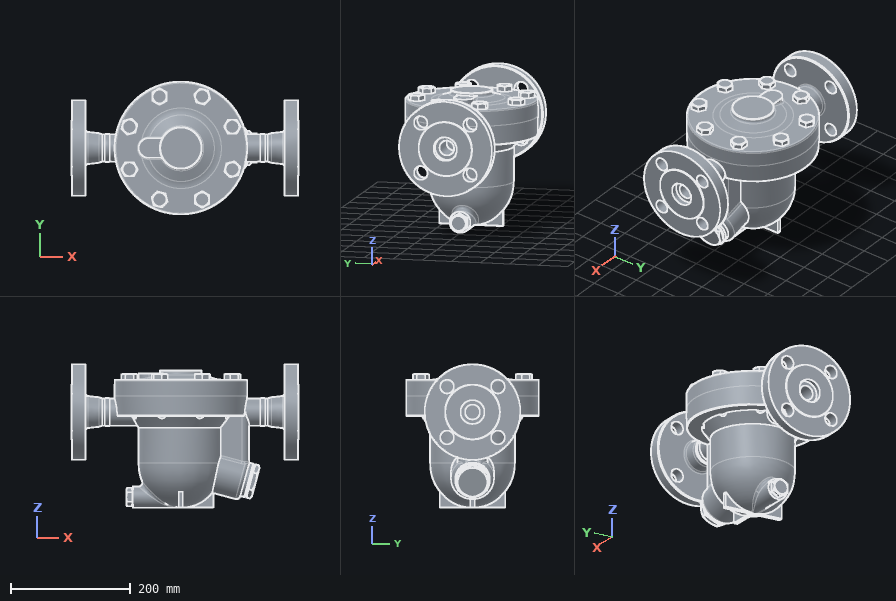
import cadquery as cq
import math


LENGTH = 380
INLET_FACE_X = -183.1
OUTLET_FACE_X = INLET_FACE_X + LENGTH
FLANGE_DIA = 160
RAISED_FACE_DIA = 92
RAISED_FACE_HEIGHT = 1.2
FLANGE_BACK = 24.5
FLANGE_CHAMFER = 1.5
BOLT_CIRCLE_DIA = 120
BOLT_HOLE_DIA = 23
BOLT_HOLES = 4
PIPE_DIA = 46
HUB_LARGE_DIA = 54.2
HUB_SMALL_DIA = 50
HUB_FILLET = 3
HUB_END = 46
HUB_CONE_END = 51.7
WELD_START = 56.3
WELD_END = 64.4
WELD_HEIGHT = 0.8
SOCKET_DIA = 40
SOCKET_DEPTH = 11
BORE_DIA = 25
BORE_DEPTH = 60

BODY_DIA = 222
COVER_TOP_Z = 54.3
SEAM_Z = 27
RIM_FILLET = 2.3
DOME_FOOT_RADIUS = 67.3
DOME_CONE_RADIUS = 55.6
DOME_CONE_Z = 56.3
DOME_NECK_RADIUS = 37.7
DOME_NECK_Z = 62.3
CAP_DIA = 70
CAP_TOP_Z = 69.5
CAP_FOOT_Z = 67.2
CAP_CHAMFER = 0.7
LUG_WIDTH = 33
LUG_CENTRE_X = -54
LUG_TOP_Z = 64.6
LUG_FILLET = 2.3

COVER_BOLTS = 8
COVER_BOLT_CIRCLE_RADIUS = 93
COVER_BOLT_FLATS = 24
COVER_BOLT_FACE_DIA = 23
COVER_BOLT_HEIGHT = 9.5
COVER_BOLT_FLAT_AT = 112.5
CORNER_TO_FLAT = 30
SPOTFACE_RADIUS = 11

BODY_FLANGE_Z = -6.7
BODY_FLANGE_TAPER = 2.4
BODY_FLANGE_CHAMFER = 1.2
NECK_TOP_RADIUS = 85
NECK_BOTTOM_Z = -26
BOWL_RADIUS = 71
BOWL_SPRING_Z = -84.3
BOTTOM_Z = -160
BOWL_BOTTOM_Z = -159.6

FOOT_REACH = 54.8
FOOT_THICKNESS = 7
FOOT_TOP_Z = -133.5
FOOT_CHAMFER = 1.2

DRAIN_DIA = 36
DRAIN_Z = BOTTOM_Z + DRAIN_DIA / 2
DRAIN_END_X = -80
DRAIN_GAP = 1.5
DRAIN_NECK_DIA = 25
DRAIN_HEX_FLATS = 27
DRAIN_HEX_FACE_DIA = 25
DRAIN_HEX_HEIGHT = 10
DRAIN_FILLET = 6

STRAINER_FACE_X = 125.1
STRAINER_FACE_Z = -117.3
STRAINER_TILT = 15
STRAINER_DIA = 72
STRAINER_LENGTH = 94
STRAINER_END = 19
STRAINER_END_FILLET = 6.9
COLLAR_DIA = 58
COLLAR_END = 9.8
COLLAR_CHAMFER = 2.5
STRAINER_NECK_DIA = 49.5
STRAINER_HEX_FLATS = 50
STRAINER_HEX_FACE_DIA = 49.5
STRAINER_HEX_HEIGHT = 8.5

PASSAGE_WIDTH = 50
PASSAGE_END_X = 113.9
PASSAGE_CORNER = 12.5
PASSAGE_FILLET = 6.5
PASSAGE_BOTTOM_Z = -90
HEX_CHAMFER_ANGLE = 30


def turned(points):
    """Solid turned about Z from an (r, z) outline."""
    return cq.Workplane("XZ").polyline(points).close().revolve(360, (0, 0), (0, 1))


def placed(solid, origin, axis, x_direction):
    """Move a solid built along +Z so that it runs from origin along axis."""
    return cq.Workplane(solid.val().moved(cq.Location(cq.Plane(origin, x_direction, axis))))


def hex_head(flats, height, face_dia):
    """Hexagonal head with corners on local X and a 30 degree chamfer on its outer face."""
    corner_radius = flats / math.sqrt(3)
    face_radius = face_dia / 2
    chamfer = (corner_radius - face_radius) * math.tan(math.radians(HEX_CHAMFER_ANGLE))
    envelope = turned([
        (0, 0),
        (corner_radius, 0),
        (corner_radius, height - chamfer),
        (face_radius, height),
        (0, height),
    ])
    return cq.Workplane("XY").polygon(6, 2 * corner_radius).extrude(height).intersect(envelope)


def blended(solid, point, radius):
    """Fillet the edge whose centre is nearest to point, with the edges tangent to it."""
    return solid.edges(cq.selectors.NearestToPointSelector(point)).fillet(radius)


def cover():
    rim = BODY_DIA / 2
    cap = CAP_DIA / 2
    profile = (
        cq.Workplane("XZ")
        .moveTo(0, SEAM_Z)
        .lineTo(rim, SEAM_Z)
        .lineTo(rim, COVER_TOP_Z - RIM_FILLET)
        .radiusArc((rim - RIM_FILLET, COVER_TOP_Z), -RIM_FILLET)
        .lineTo(DOME_FOOT_RADIUS, COVER_TOP_Z)
        .tangentArcPoint((DOME_CONE_RADIUS, DOME_CONE_Z), relative=False)
        .lineTo(DOME_NECK_RADIUS, DOME_NECK_Z)
        .tangentArcPoint((cap, CAP_FOOT_Z), relative=False)
        .lineTo(cap, CAP_TOP_Z - CAP_CHAMFER)
        .lineTo(cap - CAP_CHAMFER, CAP_TOP_Z)
        .lineTo(0, CAP_TOP_Z)
        .close()
    )
    lid = profile.revolve(360, (0, 0), (0, 1))
    lug_bar = (
        cq.Workplane("XY", origin=(0, 0, SEAM_Z))
        .rect(-LUG_CENTRE_X, LUG_WIDTH)
        .extrude(LUG_TOP_Z - SEAM_Z)
        .translate((LUG_CENTRE_X / 2, 0, 0))
    )
    lug_end = (
        cq.Workplane("XY", origin=(LUG_CENTRE_X, 0, SEAM_Z))
        .circle(LUG_WIDTH / 2)
        .extrude(LUG_TOP_Z - SEAM_Z)
    )
    lug_tip = (LUG_CENTRE_X - LUG_WIDTH / 2, 0, COVER_TOP_Z)
    return blended(lid.union(lug_bar.union(lug_end)), lug_tip, LUG_FILLET)


def cover_bolts():
    bolts = cq.Workplane()
    head = hex_head(COVER_BOLT_FLATS, COVER_BOLT_HEIGHT, COVER_BOLT_FACE_DIA)
    for i in range(COVER_BOLTS):
        angle = (i + 0.5) * 360 / COVER_BOLTS
        bolt = head.rotate((0, 0, 0), (0, 0, 1), CORNER_TO_FLAT + angle - COVER_BOLT_FLAT_AT)
        x = COVER_BOLT_CIRCLE_RADIUS * math.cos(math.radians(angle))
        y = COVER_BOLT_CIRCLE_RADIUS * math.sin(math.radians(angle))
        bolts = bolts.add(bolt.translate((x, y, COVER_TOP_Z)))
    return bolts.combine()


def oval_section(z, inset_x, inset_y):
    """Outline of the body flange at height z, its longer axis along Y."""
    rim = BODY_DIA / 2
    plane = cq.Plane((0, 0, z), xDir=(0, 1, 0), normal=(0, 0, 1))
    return cq.Workplane(plane).ellipse(rim - inset_y, rim - inset_x).wires().val()


def body_flange():
    """Round at the seam, closing in along X only, with a chamfered lower edge."""
    chamfer = BODY_FLANGE_CHAMFER
    top = oval_section(SEAM_Z, 0, 0)
    edge = oval_section(BODY_FLANGE_Z + chamfer, BODY_FLANGE_TAPER, 0)
    bottom = oval_section(BODY_FLANGE_Z, BODY_FLANGE_TAPER + chamfer, chamfer)
    side = cq.Workplane(cq.Solid.makeLoft([top, edge], True))
    return side.union(cq.Workplane(cq.Solid.makeLoft([edge, bottom], True)))


def bowl():
    """Bowl with its flared neck, a rounded bottom close to a half ellipse, and bolt spot faces."""
    quarter = math.sqrt(0.5)
    depth = BOWL_SPRING_Z - BOWL_BOTTOM_Z
    profile = (
        cq.Workplane("XZ")
        .moveTo(0, SEAM_Z)
        .lineTo(BOWL_RADIUS, SEAM_Z)
        .lineTo(NECK_TOP_RADIUS, BODY_FLANGE_Z)
        .lineTo(BOWL_RADIUS, NECK_BOTTOM_Z)
        .lineTo(BOWL_RADIUS, BOWL_SPRING_Z)
        .spline(
            [(BOWL_RADIUS * quarter, BOWL_SPRING_Z - depth * quarter), (0, BOWL_BOTTOM_Z)],
            tangents=[(0, -1), (-1, 0)],
            includeCurrent=True,
        )
        .close()
    )
    solid = profile.revolve(360, (0, 0), (0, 1))
    spotfaces = (
        cq.Workplane("XY", origin=(0, 0, BODY_FLANGE_Z))
        .polarArray(COVER_BOLT_CIRCLE_RADIUS, 180 / COVER_BOLTS, 360, COVER_BOLTS)
        .circle(SPOTFACE_RADIUS)
        .extrude(NECK_BOTTOM_Z - BODY_FLANGE_Z)
    )
    return solid.cut(spotfaces)


def feet():
    """Two feet across Y and one toward +X; the drain boss takes the fourth side."""
    height = FOOT_TOP_Z - BOTTOM_Z
    low = cq.Workplane("XY", origin=(0, 0, BOTTOM_Z))
    cross = low.rect(FOOT_THICKNESS, 2 * FOOT_REACH).extrude(height)
    single = low.center(FOOT_REACH / 2, 0).rect(FOOT_REACH, FOOT_THICKNESS).extrude(height)
    return cross.union(single).faces("<Z").chamfer(FOOT_CHAMFER)


def bowl_with_drain():
    boss = (
        cq.Workplane("YZ", origin=(DRAIN_END_X, 0, DRAIN_Z))
        .circle(DRAIN_DIA / 2)
        .extrude(-DRAIN_END_X)
    )
    seam_middle = (DRAIN_END_X / 2, 0, DRAIN_Z)
    return blended(bowl().union(boss), seam_middle, DRAIN_FILLET)


def drain_plug():
    neck = cq.Workplane("XY").circle(DRAIN_NECK_DIA / 2).extrude(DRAIN_GAP)
    head = hex_head(DRAIN_HEX_FLATS, DRAIN_HEX_HEIGHT, DRAIN_HEX_FACE_DIA)
    plug = neck.union(head.translate((0, 0, DRAIN_GAP)))
    return placed(plug, (DRAIN_END_X, 0, DRAIN_Z), (-1, 0, 0), (0, 0, 1))


def on_strainer_axis(solid):
    """Place a solid whose z = 0 is the outer face of the strainer plug."""
    tilt = math.radians(STRAINER_TILT)
    axis = (math.cos(tilt), 0, -math.sin(tilt))
    across = (math.sin(tilt), 0, math.cos(tilt))
    return placed(solid, (STRAINER_FACE_X, 0, STRAINER_FACE_Z), axis, across)


def strainer_boss():
    boss = (
        cq.Workplane("XY", origin=(0, 0, -STRAINER_LENGTH))
        .circle(STRAINER_DIA / 2)
        .extrude(STRAINER_LENGTH - STRAINER_END)
        .faces(">Z")
        .edges()
        .fillet(STRAINER_END_FILLET)
    )
    return on_strainer_axis(boss)


def passage():
    return (
        cq.Workplane("XY")
        .center(PASSAGE_END_X / 2, 0)
        .rect(PASSAGE_END_X, PASSAGE_WIDTH)
        .extrude(PASSAGE_BOTTOM_Z)
        .edges("|Z and >X")
        .fillet(PASSAGE_CORNER)
    )


def strainer_passage():
    """Strainer boss joined to the passage block above it, with both side seams filleted."""
    joined = strainer_boss().union(passage())
    tilt = math.radians(STRAINER_TILT)
    seam_x = BOWL_RADIUS
    axis_z = STRAINER_FACE_Z + (STRAINER_FACE_X - seam_x) * math.tan(tilt)
    seam_height = math.sqrt(STRAINER_DIA**2 - PASSAGE_WIDTH**2) / 2 / math.cos(tilt)
    for side in (-1, 1):
        seam = (seam_x, side * PASSAGE_WIDTH / 2, axis_z + seam_height)
        joined = blended(joined, seam, PASSAGE_FILLET)
    return joined


def strainer_plug():
    collar = turned([
        (0, -STRAINER_END),
        (COLLAR_DIA / 2, -STRAINER_END),
        (COLLAR_DIA / 2, -COLLAR_END - COLLAR_CHAMFER),
        (COLLAR_DIA / 2 - COLLAR_CHAMFER, -COLLAR_END),
        (0, -COLLAR_END),
    ])
    neck = cq.Workplane("XY").circle(STRAINER_NECK_DIA / 2).extrude(-COLLAR_END)
    head = hex_head(STRAINER_HEX_FLATS, STRAINER_HEX_HEIGHT, STRAINER_HEX_FACE_DIA)
    head = head.translate((0, 0, -STRAINER_HEX_HEIGHT))
    return on_strainer_axis(collar.union(neck).union(head))


def connection():
    """Flange, hub and pipe along +Z, with the raised face at z = 0."""
    rim = FLANGE_DIA / 2
    pipe = PIPE_DIA / 2
    hub = HUB_LARGE_DIA / 2
    profile = (
        cq.Workplane("XZ")
        .moveTo(0, 0)
        .lineTo(RAISED_FACE_DIA / 2 - RAISED_FACE_HEIGHT / 2, 0)
        .lineTo(RAISED_FACE_DIA / 2, RAISED_FACE_HEIGHT)
        .lineTo(rim, RAISED_FACE_HEIGHT)
        .lineTo(rim, FLANGE_BACK - FLANGE_CHAMFER)
        .lineTo(rim - FLANGE_CHAMFER, FLANGE_BACK)
        .lineTo(hub + HUB_FILLET, FLANGE_BACK)
        .radiusArc((hub, FLANGE_BACK + HUB_FILLET), HUB_FILLET)
        .lineTo(HUB_SMALL_DIA / 2, HUB_END)
        .lineTo(pipe, HUB_CONE_END)
        .lineTo(pipe, WELD_START)
        .threePointArc((pipe + WELD_HEIGHT, (WELD_START + WELD_END) / 2), (pipe, WELD_END))
        .lineTo(pipe, LENGTH / 2)
        .lineTo(0, LENGTH / 2)
        .close()
    )
    bolt_holes = (
        cq.Workplane("XY")
        .polarArray(BOLT_CIRCLE_DIA / 2, 180 / BOLT_HOLES, 360, BOLT_HOLES)
        .circle(BOLT_HOLE_DIA / 2)
        .extrude(FLANGE_BACK)
    )
    return profile.revolve(360, (0, 0), (0, 1)).cut(bolt_holes)


def connection_bore():
    bore = cq.Workplane("XY").circle(BORE_DIA / 2).extrude(BORE_DEPTH)
    socket = cq.Workplane("XY").circle(SOCKET_DIA / 2).extrude(SOCKET_DEPTH)
    return bore.union(socket)


def at_both_ends(solid):
    inlet = placed(solid, (INLET_FACE_X, 0, 0), (1, 0, 0), (0, 1, 0))
    outlet = placed(solid, (OUTLET_FACE_X, 0, 0), (-1, 0, 0), (0, 1, 0))
    return inlet, outlet


result = bowl_with_drain().union(strainer_passage())
result = result.union(body_flange()).union(feet())
for pipe_end in at_both_ends(connection()):
    result = result.union(pipe_end)
result = result.union(cover()).union(cover_bolts())
result = result.union(drain_plug()).union(strainer_plug())
for bore in at_both_ends(connection_bore()):
    result = result.cut(bore)